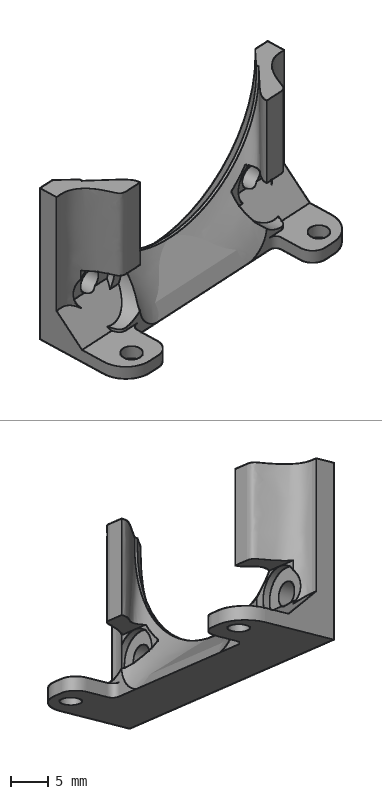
import cadquery as cq

WIDTH = 45.0
HEIGHT = 25.05
HALF_WIDTH = WIDTH / 2
PLATE_THICKNESS = 3.0
DUCT_END = 9.0

BORE_CENTER_Z = 23.68
BORE_RADIUS = 17.45
LEAD_IN_DEPTH = 2.55
BORE_BOTTOM = BORE_CENTER_Z - BORE_RADIUS

FOOT_HEIGHT = 2.03
RAMP_FOOT_X = 7.65
FOOT_REACH = 16.0
FOOT_INNER_Y = 14.2
FOOT_OUTER_RADIUS = 4.4
FOOT_INNER_RADIUS = 2.35
FOOT_ROOT_RADIUS = 1.1
FOOT_HOLE_X = 12.95
FOOT_HOLE_Y = 18.5
FOOT_HOLE_DIAMETER = 3.0

ARM_ROOT_Y = 21.6
ARM_OUTER_EDGE = [(3.6, 19.55), (5.75, 17.55), (8.1, 16.47), (DUCT_END, 15.1)]

FRONT_FLAT_HALF = 0.05
DUCT_SECTIONS = [
    (PLATE_THICKNESS, BORE_RADIUS, BORE_BOTTOM, BORE_RADIUS - FRONT_FLAT_HALF),
    (4.95, 15.5, 4.3, 13.05),
    (6.3, 14.1, 3.1, 9.9),
    (RAMP_FOOT_X, 12.9, 1.8, 6.53),
    (DUCT_END, 12.5, -0.1, 4.25),
]

SCREW_Y = 16.0
SCREW_Z = 7.65
SCREW_HOLE_DIAMETER = 3.5
HEAD_RADIUS = 3.75
ACCESS_RADIUS = 5.18
ACCESS_START_X = 4.1
CLEARANCE_TOP = SCREW_Z + HEAD_RADIUS

CUT_MARGIN = 2.25


def both_sides(solid):
    """Return the solid together with its mirror image across Y = 0."""
    return solid.union(solid.mirror("XZ"))


def base():
    """Upright plate with a full-width ramp behind it."""
    profile = [
        (0, 0),
        (DUCT_END, 0),
        (RAMP_FOOT_X, FOOT_HEIGHT),
        (PLATE_THICKNESS, BORE_BOTTOM),
        (PLATE_THICKNESS, HEIGHT),
        (0, HEIGHT),
    ]
    return cq.Workplane("XZ").polyline(profile).close().extrude(HALF_WIDTH, both=True)


def arm():
    """Upright arm beside the duct, full height, reaching inward past the duct wall."""
    return (
        cq.Workplane("XY")
        .lineTo(0, ARM_ROOT_Y)
        .lineTo(PLATE_THICKNESS, ARM_ROOT_Y)
        .spline(ARM_OUTER_EDGE, tangents=[(0, -1), (0, -1)], includeCurrent=True)
        .lineTo(DUCT_END, 0)
        .close()
        .extrude(HEIGHT)
    )


def u_wire(x, half_width, bottom, corner_radius):
    """Closed U outline at the given x: rounded bottom corners, open upward past the top."""
    top = HEIGHT + CUT_MARGIN
    spring_z = bottom + corner_radius
    flat_half = half_width - corner_radius
    return (
        cq.Workplane("YZ", origin=(x, 0, 0))
        .moveTo(-half_width, top)
        .lineTo(-half_width, spring_z)
        .tangentArcPoint((-flat_half, bottom), relative=False)
        .lineTo(flat_half, bottom)
        .tangentArcPoint((half_width, spring_z), relative=False)
        .lineTo(half_width, top)
        .close()
        .val()
    )


def bore():
    """Lead-in cone and straight land through the plate."""
    rise_above_center = HEIGHT + CUT_MARGIN - BORE_CENTER_Z
    lead_in = cq.Workplane(
        cq.Solid.makeCone(
            BORE_RADIUS + LEAD_IN_DEPTH,
            BORE_RADIUS,
            LEAD_IN_DEPTH,
            pnt=cq.Vector(0, 0, BORE_CENTER_Z),
            dir=cq.Vector(1, 0, 0),
        )
    )
    land = (
        cq.Workplane("YZ")
        .center(0, BORE_CENTER_Z)
        .circle(BORE_RADIUS)
        .extrude(PLATE_THICKNESS)
    )
    half_section = [
        (0, 0),
        (0, BORE_RADIUS + LEAD_IN_DEPTH),
        (LEAD_IN_DEPTH, BORE_RADIUS),
        (PLATE_THICKNESS, BORE_RADIUS),
        (PLATE_THICKNESS, 0),
    ]
    straight = (
        cq.Workplane("XY", origin=(0, 0, BORE_CENTER_Z))
        .polyline(half_section)
        .close()
        .extrude(rise_above_center)
    )
    return lead_in.union(land).union(both_sides(straight))


def duct():
    """Passage narrowing from the round bore to the rear opening."""
    wires = [u_wire(*section) for section in DUCT_SECTIONS]
    return cq.Workplane(cq.Solid.makeLoft(wires, False))


def foot():
    """Flat lug with one hole, blended into the rear of the duct wall."""
    lug = (
        cq.Workplane("XY")
        .moveTo(PLATE_THICKNESS, FOOT_INNER_Y - FOOT_ROOT_RADIUS)
        .lineTo(DUCT_END, FOOT_INNER_Y - FOOT_ROOT_RADIUS)
        .radiusArc((DUCT_END + FOOT_ROOT_RADIUS, FOOT_INNER_Y), FOOT_ROOT_RADIUS)
        .lineTo(FOOT_REACH, FOOT_INNER_Y)
        .lineTo(FOOT_REACH, HALF_WIDTH)
        .lineTo(PLATE_THICKNESS, HALF_WIDTH)
        .close()
        .extrude(FOOT_HEIGHT)
    )
    lug = lug.edges("|Z and >X and >Y").fillet(FOOT_OUTER_RADIUS)
    lug = lug.edges(
        cq.selectors.NearestToPointSelector((FOOT_REACH, FOOT_INNER_Y, FOOT_HEIGHT / 2))
    ).fillet(FOOT_INNER_RADIUS)
    hole = (
        cq.Workplane("XY")
        .center(FOOT_HOLE_X, FOOT_HOLE_Y)
        .circle(FOOT_HOLE_DIAMETER / 2)
        .extrude(FOOT_HEIGHT)
    )
    return lug.cut(hole)


def screw_cylinder(start_x, end_x, radius):
    """Cylinder on the screw axis between two x positions."""
    return (
        cq.Workplane("YZ", origin=(start_x, 0, 0))
        .center(SCREW_Y, SCREW_Z)
        .circle(radius)
        .extrude(end_x - start_x)
    )


def screw_clearance():
    """Pocket for the screw head and its wider access, with a flat ceiling under the arm."""
    head = screw_cylinder(PLATE_THICKNESS, DUCT_END, HEAD_RADIUS)
    access = screw_cylinder(ACCESS_START_X, DUCT_END, ACCESS_RADIUS)
    ceiling = (
        cq.Workplane("XY", origin=(0, 0, CLEARANCE_TOP))
        .rect(2 * FOOT_REACH, WIDTH)
        .extrude(HEIGHT)
    )
    return head.union(access).cut(ceiling)


plate_and_ramp = base().cut(bore())
arms = both_sides(arm()).cut(bore()).cut(duct()).cut(both_sides(screw_clearance()))
feet = both_sides(foot())
screw_holes = both_sides(screw_cylinder(0, DUCT_END, SCREW_HOLE_DIAMETER / 2))

result = plate_and_ramp.union(arms).union(feet).cut(screw_holes)